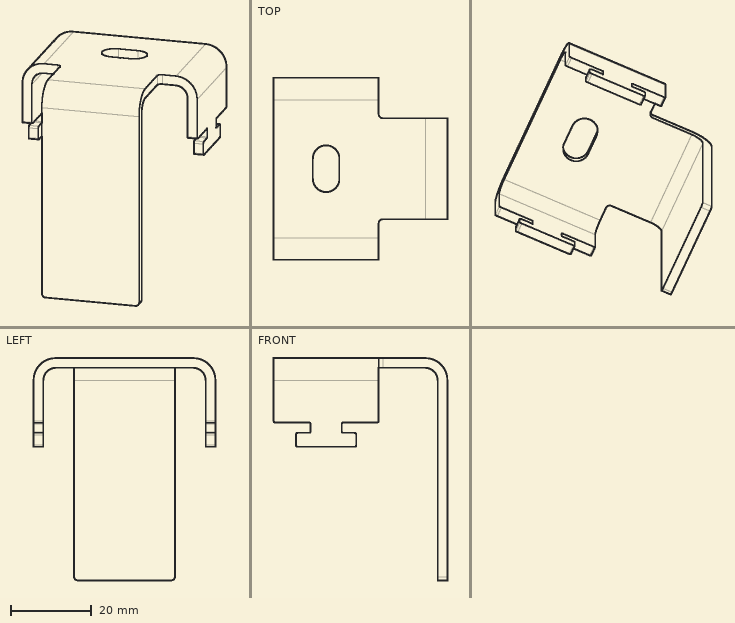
import cadquery as cq

length = 43.0
width = 45.0
height = 55.0

sheet = 2.5
bend_outer = 5.5
bend_inner = bend_outer - sheet

saddle_length = 26.0
saddle_middle = saddle_length / 2
flange_drop = 16.0

tab_drop = 22.0
neck_width = 7.8
neck_height = 2.5
head_width = 14.95
head_height = tab_drop - flange_drop - neck_height

tongue_width = 25.0

slot_length = 11.5
slot_width = 6.5

tongue_corner = 1.0
tab_corner = 0.5
neck_corner = 0.2

margin = 0.05


def bent_strip(plane, left, right, drop):
    """Outline of a sheet that runs level from left, then bends down at right."""
    return (
        cq.Workplane(plane)
        .moveTo(left, 0)
        .lineTo(right - bend_outer, 0)
        .radiusArc((right, -bend_outer), bend_outer)
        .lineTo(right, -drop)
        .lineTo(right - sheet, -drop)
        .lineTo(right - sheet, -bend_outer)
        .radiusArc((right - bend_outer, -sheet), -bend_inner)
        .lineTo(left, -sheet)
        .close()
    )


def block(x_size, z_top, z_size):
    """Full-width block centred on the saddle, hanging down from z_top."""
    return (
        cq.Workplane("XY")
        .box(x_size, width, z_size, centered=(True, True, False))
        .translate((saddle_middle, 0, z_top - z_size))
    )


def make_saddle():
    """Saddle bent down on both sides, with its lower edges cut to T-shaped tabs."""
    half = bent_strip("YZ", 0, width / 2, tab_drop).extrude(saddle_length)
    saddle = half.union(half.mirror("XZ"))
    flange = block(saddle_length, 0, flange_drop).edges("|Y and <Z").fillet(tab_corner)
    neck = block(neck_width, -flange_drop, neck_height)
    head = block(head_width, head_height - tab_drop, head_height).edges("|Y").fillet(tab_corner)
    neck_sides = cq.selectors.BoxSelector(
        (saddle_middle - neck_width / 2 - margin, -width, -flange_drop - neck_height - margin),
        (saddle_middle + neck_width / 2 + margin, width, -flange_drop + margin),
    )
    side_shape = flange.union(neck).union(head)
    side_shape = side_shape.edges("|Y").edges(neck_sides).fillet(neck_corner)
    return saddle.intersect(side_shape)


def make_tongue():
    """Tongue and long leg, rounded at the free end."""
    return (
        bent_strip("XZ", saddle_middle, length, height)
        .extrude(tongue_width / 2, both=True)
        .faces("<Z")
        .edges("|X")
        .fillet(tongue_corner)
    )


def make_slot():
    """Cutter for the rounded slot in the top."""
    return (
        cq.Workplane("XY")
        .center(saddle_middle, 0)
        .slot2D(slot_length, slot_width, 90)
        .extrude(-sheet)
    )


body = make_saddle().union(make_tongue()).cut(make_slot())

inside_corners = cq.selectors.BoxSelector(
    (saddle_length - margin, -width / 2, -sheet),
    (saddle_length + margin, width / 2, 0),
)
result = body.edges("|Z").edges(inside_corners).fillet(tongue_corner)